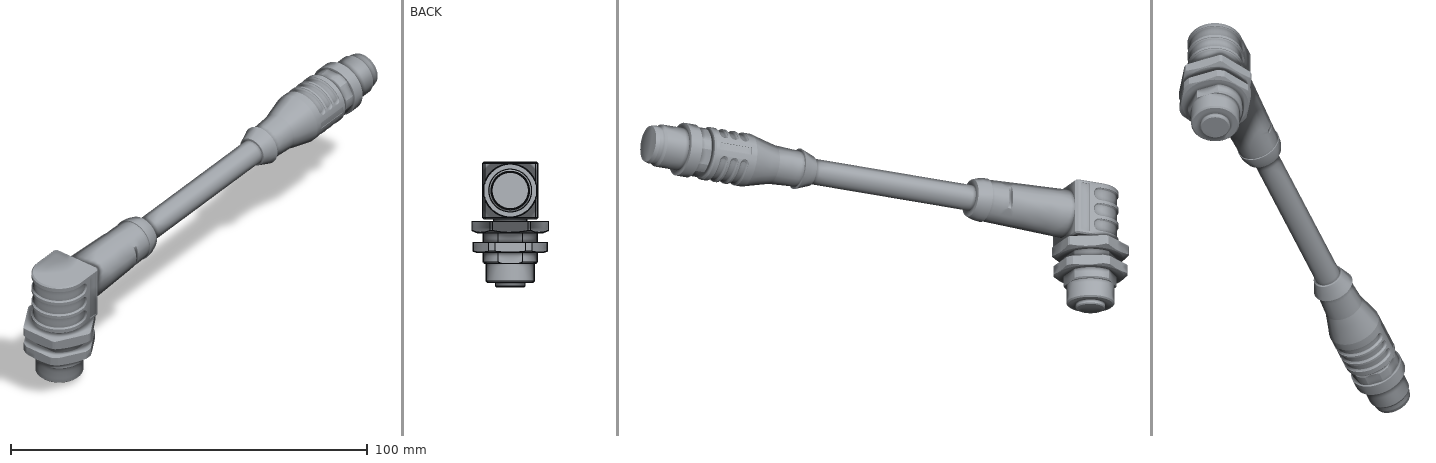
import cadquery as cq
import math


cable_dia = 7.25
plug_end = 138.0
tip_chamfer_end = 136.9
thread_chamfer_end = 135.6
thread_start = 134.8
ring_front = 128.1
ring_back = 124.7
plug_hex_back = 121.2
grip_front = 120.6
grip_chamfer = 0.4
grip_back = 107.6
waist = 99.6
plug_flange_front = 91.6
plug_back = 87.4

tip_end_dia = 10.2
tip_dia = 10.8
thread_dia = 12.0
ring_dia = 15.0
plug_neck_dia = 9.3
grip_dia = 15.0
waist_dia = 11.0
tail_dia = 10.1
plug_flange_dia = 11.6
plug_back_dia = 8.5

plug_hex_flats = 13.2
plug_hex_corner_dia = 13.9
plug_hex_chamfer_dia = 12.8
plug_hex_chamfer_height = 0.4

grip_groove_count = 3
grip_groove_pitch = 3.15
grip_groove_mid = 114.3
grip_groove_width = 2.5
grip_groove_depth = 0.6
grip_groove_slope = 0.45
grip_groove_low = 2.7

floor_tolerance = 0.001

panel_depth = 0.2
grip_panel_length = 10.0
grip_panel_height = 2.0
elbow_panel_length = 2.7
elbow_panel_height = 14.2
elbow_panel_mid = 5.45

collar_end = 37.5
collar_start = 33.4
sleeve_large_dia = 13.7
sleeve_small_dia = 11.8
collar_dia = 12.4
collar_end_dia = 10.6
collar_bulge = 0.25
slit_mid = 27.65
slit_width = 1.1
slit_half_gap = 5.2

elbow_top = 8.0
elbow_bottom = -8.0
elbow_width = 15.5
elbow_back = 8.2
elbow_nose = 7.9
elbow_edge = 0.4
elbow_back_edge = 0.7
elbow_groove_count = 3
elbow_groove_pitch = 4.6
elbow_groove_width = 3.7
elbow_groove_depth = 0.5
elbow_groove_slope = 0.35
elbow_groove_end = 2.7

upper_nut_top = -8.65
upper_nut_bottom = -11.9
lower_nut_top = -14.5
lower_nut_bottom = -17.4
stem_bottom = -20.4
socket_bottom = -25.8
insert_bottom = -27.0

socket_neck_dia = 9.4
stem_dia = 15.2
stem_flat = 6.75
stem_chamfer = 0.4
socket_dia = 13.5
socket_chamfer = 0.4
insert_dia = 8.3
insert_chamfer = 0.3

nut_flats = 19.0
upper_nut_corner_dia = 21.5
lower_nut_corner_dia = 20.8
upper_nut_chamfer_dia = 18.2
upper_nut_chamfer_height = 0.7
lower_nut_chamfer_dia = 18.6
lower_nut_chamfer_height = 0.4


def disc(dia, top, bottom):
    """Upright cylinder on the Z axis, from bottom to top."""
    return cq.Workplane("XY").workplane(offset=bottom).circle(dia / 2).extrude(top - bottom)


def box(x_size, y_size, z_size, center):
    return cq.Workplane("XY").box(x_size, y_size, z_size).translate(center)


def hex_nut(flats, corner_dia, chamfer_dia, chamfer_height, thickness):
    """Hexagon with its top at Z = 0, rounded corners on +X and -X, and a coned lower rim."""
    prism = cq.Workplane("XY").polygon(6, flats / math.cos(math.pi / 6)).extrude(-thickness)
    rim = (
        cq.Workplane("XZ")
        .moveTo(0, 0)
        .lineTo(corner_dia / 2, 0)
        .lineTo(corner_dia / 2, chamfer_height - thickness)
        .lineTo(chamfer_dia / 2, -thickness)
        .lineTo(0, -thickness)
        .close()
        .revolve(360, (0, 0, 0), (0, 1, 0))
    )
    return prism.intersect(rim)


def make_plug_body():
    """Cable and straight plug, turned about the Y axis."""
    outline = [
        (cable_dia / 2, 0),
        (cable_dia / 2, plug_back),
        (plug_back_dia / 2, plug_back),
        (plug_flange_dia / 2, plug_flange_front),
        (tail_dia / 2, plug_flange_front),
        (waist_dia / 2, waist),
        (grip_dia / 2, grip_back),
        (grip_dia / 2, grip_front - grip_chamfer),
        (grip_dia / 2 - grip_chamfer, grip_front),
        (plug_neck_dia / 2, grip_front),
        (plug_neck_dia / 2, ring_back),
        (ring_dia / 2, ring_back),
        (ring_dia / 2, ring_front),
        (thread_dia / 2, ring_front),
        (thread_dia / 2, thread_start),
        (tip_dia / 2, thread_chamfer_end),
        (tip_dia / 2, tip_chamfer_end),
        (tip_end_dia / 2, plug_end),
        (0, plug_end),
    ]
    return cq.Workplane("XY").polyline([(0, 0)] + outline).close().revolve(360, (0, 0, 0), (0, 1, 0))


def make_plug_nut():
    """Hexagon behind the knurled ring, with its coned rim toward the grip."""
    nut = hex_nut(
        plug_hex_flats,
        plug_hex_corner_dia,
        plug_hex_chamfer_dia,
        plug_hex_chamfer_height,
        ring_back - plug_hex_back,
    )
    return nut.rotate((0, 0, 0), (1, 0, 0), -90).translate((0, ring_back, 0))


def slope_groove(cutter, floor_solid, slope):
    """Bevel a groove cutter where it rests on the floor, so that the groove gets sloping walls."""
    floor = floor_solid.val()
    floor_edges = [
        edge
        for edge in cutter.edges("not |Z").vals()
        if floor.isInside(edge.positionAt(0.5), floor_tolerance)
    ]
    return cutter.newObject(floor_edges).chamfer(slope)


def cut_grip_grooves(body):
    floor_radius = grip_dia / 2 - grip_groove_depth
    floor = cq.Workplane("XZ").circle(floor_radius).extrude(-grip_front)
    band = cq.Workplane("XZ").circle(grip_dia).extrude(-grip_front).cut(floor)
    end_radius = grip_groove_width / 2
    for index in range(grip_groove_count):
        y_mid = grip_groove_mid + (index - (grip_groove_count - 1) / 2) * grip_groove_pitch
        for side in (1, -1):
            slot = (
                cq.Workplane("YZ")
                .moveTo(y_mid - end_radius, side * grip_dia)
                .lineTo(y_mid - end_radius, side * (grip_groove_low + end_radius))
                .threePointArc(
                    (y_mid, side * grip_groove_low),
                    (y_mid + end_radius, side * (grip_groove_low + end_radius)),
                )
                .lineTo(y_mid + end_radius, side * grip_dia)
                .close()
                .extrude(grip_dia, both=True)
            )
            body = body.cut(slope_groove(slot.intersect(band), floor, grip_groove_slope))
    return body


def cut_side_panels(body, half_width, y_mid, length, height):
    """Shallow rectangular recesses in the +X and -X sides."""
    for side in (1, -1):
        x_mid = side * half_width
        body = body.cut(box(2 * panel_depth, length, height, (x_mid, y_mid, 0)))
    return body


def make_sleeve():
    mid_radius = (collar_dia + collar_end_dia) / 4 + collar_bulge
    sleeve = (
        cq.Workplane("XY")
        .moveTo(0, 0)
        .lineTo(sleeve_large_dia / 2, 0)
        .lineTo(sleeve_large_dia / 2, elbow_back)
        .lineTo(sleeve_small_dia / 2, collar_start)
        .lineTo(collar_dia / 2, collar_start)
        .threePointArc(
            (mid_radius, (collar_start + collar_end) / 2),
            (collar_end_dia / 2, collar_end),
        )
        .lineTo(0, collar_end)
        .close()
        .revolve(360, (0, 0, 0), (0, 1, 0))
    )
    for side in (1, -1):
        x_mid = side * (slit_half_gap + sleeve_large_dia / 2)
        sleeve = sleeve.cut(
            box(sleeve_large_dia, slit_width, sleeve_large_dia, (x_mid, slit_mid, 0))
        )
    return sleeve


def elbow_solid(inset):
    """Elbow block with its sides and nose pulled in by the inset."""
    half_width = elbow_width / 2 - inset
    nose_start = elbow_width / 2 - elbow_nose
    return (
        cq.Workplane("XY")
        .workplane(offset=elbow_bottom)
        .moveTo(-half_width, elbow_back)
        .lineTo(half_width, elbow_back)
        .lineTo(half_width, nose_start)
        .threePointArc((0, nose_start - half_width), (-half_width, nose_start))
        .close()
        .extrude(elbow_top - elbow_bottom)
    )


def make_elbow():
    body = elbow_solid(0).faces(">Y").edges("|Z").chamfer(elbow_back_edge)
    body = body.faces("<Z or >Z").edges().chamfer(elbow_edge)
    height_mid = (elbow_top + elbow_bottom) / 2
    floor = elbow_solid(elbow_groove_depth)
    band = elbow_solid(-elbow_groove_depth).cut(floor)
    end_radius = elbow_groove_width / 2
    arc_start = elbow_groove_end - end_radius
    for index in range(elbow_groove_count):
        z_mid = height_mid + (index - (elbow_groove_count - 1) / 2) * elbow_groove_pitch
        slot = (
            cq.Workplane("YZ")
            .moveTo(-elbow_width, z_mid - end_radius)
            .lineTo(arc_start, z_mid - end_radius)
            .threePointArc((elbow_groove_end, z_mid), (arc_start, z_mid + end_radius))
            .lineTo(-elbow_width, z_mid + end_radius)
            .close()
            .extrude(elbow_width, both=True)
        )
        body = body.cut(slope_groove(slot.intersect(band), floor, elbow_groove_slope))
    return cut_side_panels(body, elbow_width / 2, elbow_panel_mid, elbow_panel_length, elbow_panel_height)


def make_stem():
    """Round stem with flats on +Y, -Y and the corner between -X and -Y."""
    stem = disc(stem_dia, upper_nut_top, stem_bottom).faces("<Z").edges().chamfer(stem_chamfer)
    height = upper_nut_top - stem_bottom
    z_mid = (upper_nut_top + stem_bottom) / 2
    for angle in (90, -90, -135):
        cutter = box(stem_dia, 2 * stem_dia, height, (stem_flat + stem_dia / 2, 0, z_mid))
        stem = stem.cut(cutter.rotate((0, 0, 0), (0, 0, 1), angle))
    return stem


def make_socket():
    upper_nut = hex_nut(
        nut_flats,
        upper_nut_corner_dia,
        upper_nut_chamfer_dia,
        upper_nut_chamfer_height,
        upper_nut_top - upper_nut_bottom,
    )
    lower_nut = hex_nut(
        nut_flats,
        lower_nut_corner_dia,
        lower_nut_chamfer_dia,
        lower_nut_chamfer_height,
        lower_nut_top - lower_nut_bottom,
    )
    barrel = disc(socket_dia, stem_bottom, socket_bottom).faces("<Z").edges().chamfer(socket_chamfer)
    insert = disc(insert_dia, socket_bottom, insert_bottom).faces("<Z").edges().chamfer(insert_chamfer)
    return (
        make_stem()
        .union(disc(socket_neck_dia, 0, upper_nut_top))
        .union(upper_nut.translate((0, 0, upper_nut_top)))
        .union(lower_nut.translate((0, 0, lower_nut_top)))
        .union(barrel)
        .union(insert)
    )


plug = cut_grip_grooves(make_plug_body())
plug = cut_side_panels(plug, grip_dia / 2, grip_groove_mid, grip_panel_length, grip_panel_height)
plug = plug.union(make_plug_nut())

result = make_elbow().union(make_sleeve()).union(plug).union(make_socket())